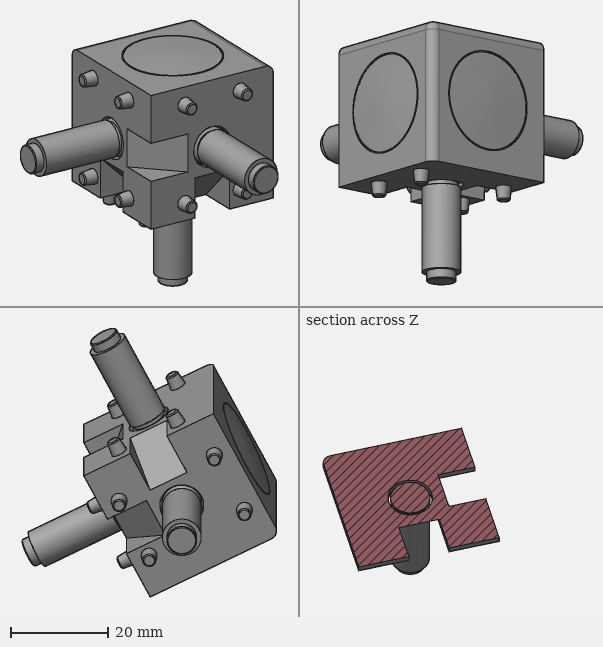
import cadquery as cq
cube_side = 30.0
half_side = cube_side / 2
edge_radius = 2.0

cover_diameter = 20.5
cover_depth = 1.0
recess_chamfer = 0.25
cover_rise = 0.5

shaft_diameter = 8.0
neck_diameter = 7.0
tip_diameter = 6.1
tip_length = 2.0
tip_chamfer = 0.2
neck_exposed = 0.65
overall_size = 51.0
shaft_end = overall_size - half_side - cover_rise
shaft_hole_diameter = 9.0
shaft_hole_depth = 2.5
collar_diameter = 8.2
neck_sunk = 0.25
collar_length = 0.6

foot_base_diameter = 3.3
foot_tip_diameter = 2.7
foot_length = 2.9
foot_chamfer = 0.25
foot_offset_short = 6.8
foot_offset_long = 11.0

notch_width = 8.5
notch_depth = 9.0

shaft_planes = [
    cq.Plane((0, 0, 0), xDir=(0, 1, 0), normal=(1, 0, 0)),
    cq.Plane((0, 0, 0), xDir=(1, 0, 0), normal=(0, -1, 0)),
    cq.Plane((0, 0, 0), xDir=(1, 0, 0), normal=(0, 0, -1)),
]
cover_planes = [
    cq.Plane((0, 0, 0), xDir=(0, 1, 0), normal=(-1, 0, 0)),
    cq.Plane((0, 0, 0), xDir=(1, 0, 0), normal=(0, 1, 0)),
    cq.Plane((0, 0, 0), xDir=(1, 0, 0), normal=(0, 0, 1)),
]
notch_planes = [
    cq.Plane((0, 0, 0), xDir=(1, 0, 0), normal=(0, 0, -1)),
    cq.Plane((0, 0, 0), xDir=(0, -1, 0), normal=(1, 0, 0)),
    cq.Plane((0, 0, 0), xDir=(0, 0, -1), normal=(0, -1, 0)),
]


def turned(plane, profile):
    """Revolve a (radius, height) profile about the plane's normal."""
    section = cq.Plane(plane.origin, xDir=plane.xDir, normal=-plane.yDir)
    return cq.Workplane(section).polyline(profile).close().revolve(360, (0, 0), (0, 1))


def make_shaft_hole(plane):
    """Round cutter that enters a shaft face."""
    floor = cq.Workplane(plane).workplane(offset=half_side - shaft_hole_depth)
    return floor.circle(shaft_hole_diameter / 2).extrude(shaft_hole_depth)


def make_feet(plane):
    """Four tapered, chamfered feet on one shaft face."""
    straight_top = half_side + foot_length - foot_chamfer
    base_radius = foot_base_diameter / 2
    tip_radius = foot_tip_diameter / 2
    profile = [
        (0, half_side),
        (base_radius, half_side),
        (tip_radius, straight_top),
        (tip_radius - foot_chamfer, half_side + foot_length),
        (0, half_side + foot_length),
    ]
    foot = turned(plane, profile)
    feet = []
    for side in (-1, 1):
        for end in (-1, 1):
            shift = plane.xDir * (side * foot_offset_short) + plane.yDir * (end * foot_offset_long)
            feet.append(foot.translate(shift))
    return feet


def make_notch(plane):
    """Triangular cutter that leaves a 45 degree ramp across one edge."""
    inner = half_side - notch_depth
    corners = [(half_side, inner), (half_side, half_side), (inner, half_side)]
    return cq.Workplane(plane).polyline(corners).close().extrude(notch_width / 2, both=True)


def make_cover_recess(plane):
    """Cutter for a cover recess with a chamfered mouth."""
    radius = cover_diameter / 2
    floor = half_side - cover_depth
    profile = [
        (0, floor),
        (radius, floor),
        (radius, half_side - recess_chamfer),
        (radius + recess_chamfer, half_side),
        (0, half_side),
    ]
    return turned(plane, profile)


def make_housing():
    body = cq.Workplane("XY").box(cube_side, cube_side, cube_side)
    rounded_edges = "(|X and >Y and >Z) or (|Y and <X and >Z) or (|Z and <X and >Y)"
    body = body.edges(rounded_edges).fillet(edge_radius)
    for plane in cover_planes:
        body = body.cut(make_cover_recess(plane))
    for plane in shaft_planes:
        body = body.cut(make_shaft_hole(plane))
        for foot in make_feet(plane):
            body = body.union(foot)
    for plane in notch_planes:
        body = body.cut(make_notch(plane))
    return body


def make_cover(plane):
    radius = cover_diameter / 2
    floor = half_side - cover_depth
    profile = [(0, floor), (radius, floor), (radius, half_side), (0, half_side + cover_rise)]
    return turned(plane, profile)


def make_shaft(plane):
    seat_radius = shaft_hole_diameter / 2
    collar_radius = collar_diameter / 2
    neck_radius = neck_diameter / 2
    shaft_radius = shaft_diameter / 2
    tip_radius = tip_diameter / 2
    neck_top = half_side + neck_exposed
    neck_bottom = half_side - neck_sunk
    collar_top = neck_bottom - (collar_radius - neck_radius)
    collar_bottom = collar_top - collar_length
    seat_top = collar_bottom - (seat_radius - collar_radius)
    seat_bottom = half_side - shaft_hole_depth
    shoulder = shaft_end - tip_length
    profile = [
        (0, seat_bottom),
        (seat_radius, seat_bottom),
        (seat_radius, seat_top),
        (collar_radius, collar_bottom),
        (collar_radius, collar_top),
        (neck_radius, neck_bottom),
        (neck_radius, neck_top),
        (shaft_radius, neck_top),
        (shaft_radius, shoulder),
        (tip_radius, shoulder),
        (tip_radius, shaft_end - tip_chamfer),
        (tip_radius - tip_chamfer, shaft_end),
        (0, shaft_end),
    ]
    return turned(plane, profile)


housing = make_housing()
covers = [make_cover(plane) for plane in cover_planes]
shafts = [make_shaft(plane) for plane in shaft_planes]

result = cq.Compound.makeCompound([
    housing.val(),
    *[cover.val() for cover in covers],
    *[shaft.val() for shaft in shafts],
])